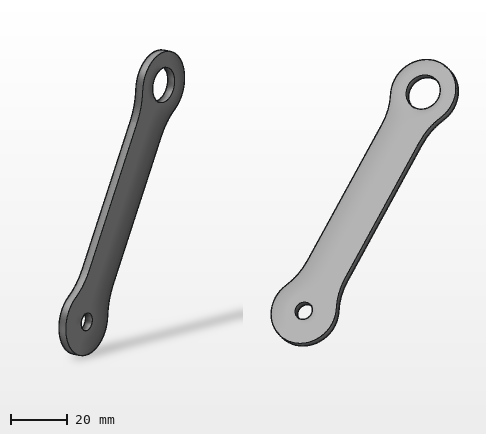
import cadquery as cq
import math

thickness = 3.1
end_radius = 12.1
overall_height = 101.2
tilt = 30.0
bar_width = 16.2
neck_radius = 24.3
large_hole = 12.7
small_hole = 6.4

center_distance = (overall_height - 2 * end_radius) / math.cos(math.radians(tilt))
half_length = center_distance / 2
half_width = bar_width / 2

neck_offset = half_width + neck_radius
neck_reach = math.sqrt((end_radius + neck_radius) ** 2 - neck_offset ** 2)
neck_height = half_length - neck_reach

contact_ratio = end_radius / (end_radius + neck_radius)
contact_y = neck_offset * contact_ratio
contact_z = half_length - neck_reach * contact_ratio

neck_sweep = math.atan2(neck_reach, neck_offset)
neck_mid_y = neck_offset - neck_radius * math.cos(neck_sweep / 2)
neck_mid_z = neck_height + neck_radius * math.sin(neck_sweep / 2)
tip_z = half_length + end_radius


def upright_link():
    """Plate with its long axis along Z, centered on the origin."""
    return (
        cq.Workplane("YZ")
        .moveTo(half_width, -neck_height)
        .lineTo(half_width, neck_height)
        .threePointArc((neck_mid_y, neck_mid_z), (contact_y, contact_z))
        .threePointArc((0, tip_z), (-contact_y, contact_z))
        .threePointArc((-neck_mid_y, neck_mid_z), (-half_width, neck_height))
        .lineTo(-half_width, -neck_height)
        .threePointArc((-neck_mid_y, -neck_mid_z), (-contact_y, -contact_z))
        .threePointArc((0, -tip_z), (contact_y, -contact_z))
        .threePointArc((neck_mid_y, -neck_mid_z), (half_width, -neck_height))
        .close()
        .extrude(thickness)
        .translate((-thickness / 2, 0, 0))
    )


def hole_cutter(diameter, height):
    """Cylinder along X that passes through the plate at the given Z."""
    return (
        cq.Workplane("YZ")
        .center(0, height)
        .circle(diameter / 2)
        .extrude(thickness)
        .translate((-thickness / 2, 0, 0))
    )


link = upright_link()
for diameter, height in ((large_hole, half_length), (small_hole, -half_length)):
    link = link.cut(hole_cutter(diameter, height))

result = link.rotate((0, 0, 0), (1, 0, 0), -tilt)